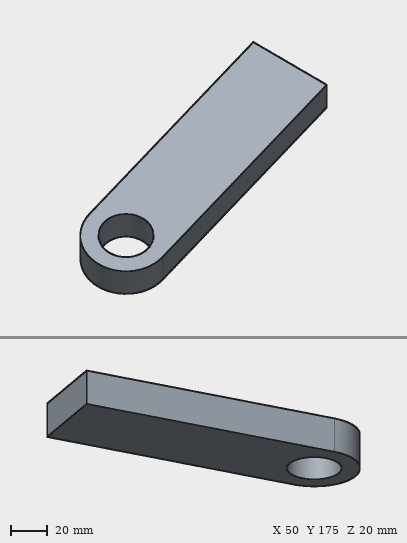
import cadquery as cq

length = 175.0
width = 50.0
thickness = 20.0
hole_diameter = 30.1

end_radius = width / 2
straight_length = length - end_radius

bar = (
    cq.Workplane("XY")
    .moveTo(-end_radius, 0)
    .lineTo(-end_radius, straight_length)
    .lineTo(end_radius, straight_length)
    .lineTo(end_radius, 0)
    .threePointArc((0, -end_radius), (-end_radius, 0))
    .close()
    .extrude(thickness)
)

hole = cq.Workplane("XY").circle(hole_diameter / 2).extrude(thickness)

result = bar.cut(hole)